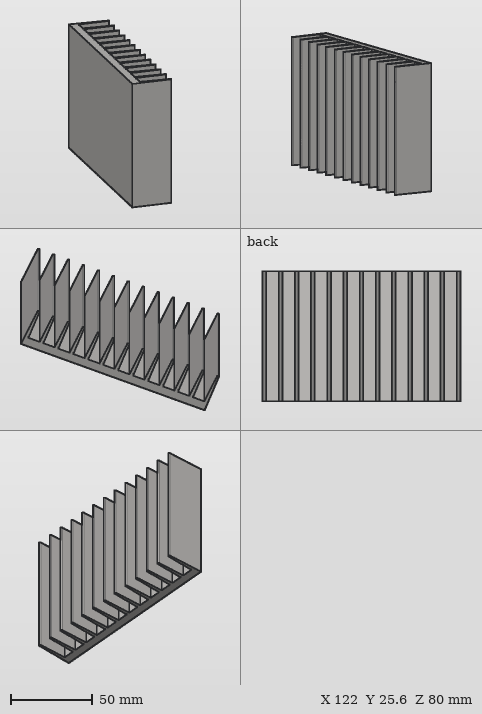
import cadquery as cq

width = 122.0
depth = 25.6
height = 80.0

base_thickness = 5.7
fin_count = 13
fin_foot_width = 2.8
fin_tip_width = 1.2
tip_radius = 0.55
fin_pitch = (width - fin_foot_width) / (fin_count - 1)

flank_lean = (fin_foot_width - fin_tip_width) / 2 / depth
half_width = width / 2
half_plate_top = half_width - flank_lean * base_thickness


def make_fin(center_x):
    """Tapered fin running from the mounting face to a tip with rounded corners."""
    half_foot = fin_foot_width / 2
    half_tip = fin_tip_width / 2
    fin = (
        cq.Workplane("XY")
        .polyline([
            (center_x - half_foot, 0),
            (center_x + half_foot, 0),
            (center_x + half_tip, depth),
            (center_x - half_tip, depth),
        ])
        .close()
        .extrude(height)
    )
    return fin.faces(">Y").edges("|Z").fillet(tip_radius)


result = (
    cq.Workplane("XY")
    .polyline([
        (-half_width, 0),
        (half_width, 0),
        (half_plate_top, base_thickness),
        (-half_plate_top, base_thickness),
    ])
    .close()
    .extrude(height)
)

first_fin_x = -(width - fin_foot_width) / 2
for index in range(fin_count):
    result = result.union(make_fin(first_fin_x + index * fin_pitch))

result = result.clean()